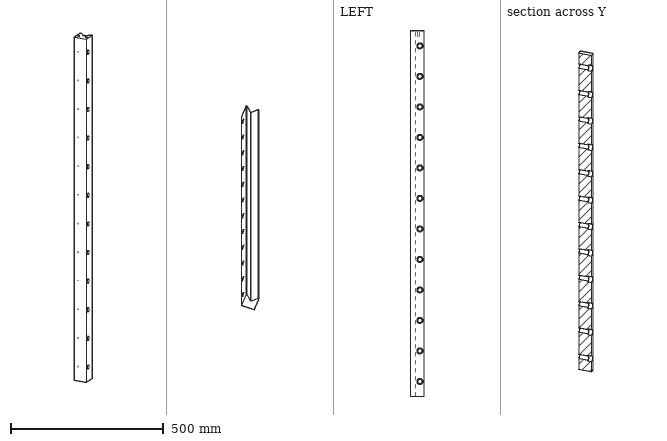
import cadquery as cq

WIDTH = 45.0
DEPTH = 45.0
LENGTH = 1200.0

LAND_WIDTH = 3.5
GROOVE_FLOOR_HALF_WIDTH = 1.5
GROOVE_HALF_WIDTH = WIDTH / 2 - LAND_WIDTH
GROOVE_DEPTH = GROOVE_HALF_WIDTH - GROOVE_FLOOR_HALF_WIDTH

MOUNT_COUNT = 12
MOUNT_PITCH = LENGTH / MOUNT_COUNT
FIRST_MOUNT_HEIGHT = MOUNT_PITCH / 2
MOUNT_FROM_FRONT = 14.0
MOUNT_DIAMETER = 14.0
COUNTERBORE_DIAMETER = 20.0
COUNTERBORE_DEPTH = 13.0

END_HOLE_SPACING = 28.0
END_HOLE_FROM_FRONT = 18.0
END_HOLE_DIAMETER = 6.0
END_HOLE_DEPTH = 20.0


def grooved_bar():
    """Bar with narrow lands left on both sides of the V groove."""
    half_width = WIDTH / 2
    half_depth = DEPTH / 2
    return (
        cq.Workplane("XY")
        .moveTo(-half_width, -half_depth)
        .lineTo(half_width, -half_depth)
        .lineTo(half_width, half_depth)
        .lineTo(GROOVE_HALF_WIDTH, half_depth)
        .lineTo(GROOVE_FLOOR_HALF_WIDTH, half_depth - GROOVE_DEPTH)
        .lineTo(-GROOVE_FLOOR_HALF_WIDTH, half_depth - GROOVE_DEPTH)
        .lineTo(-GROOVE_HALF_WIDTH, half_depth)
        .lineTo(-half_width, half_depth)
        .close()
        .extrude(LENGTH)
    )


def mounting_cutters():
    """Through holes with counterbores entering from the -X face, one pitch apart."""
    hole_y = MOUNT_FROM_FRONT - DEPTH / 2
    centres = [(hole_y, FIRST_MOUNT_HEIGHT + index * MOUNT_PITCH) for index in range(MOUNT_COUNT)]
    entry_face = cq.Workplane("YZ", origin=(-WIDTH / 2, 0, 0)).pushPoints(centres)
    holes = entry_face.circle(MOUNT_DIAMETER / 2).extrude(WIDTH)
    counterbores = entry_face.circle(COUNTERBORE_DIAMETER / 2).extrude(COUNTERBORE_DEPTH)
    return holes.union(counterbores)


def end_hole_cutters():
    """Blind holes sunk into the top end, symmetric about the groove."""
    hole_y = END_HOLE_FROM_FRONT - DEPTH / 2
    centres = [(side * END_HOLE_SPACING / 2, hole_y) for side in (-1, 1)]
    return (
        cq.Workplane("XY", origin=(0, 0, LENGTH))
        .pushPoints(centres)
        .circle(END_HOLE_DIAMETER / 2)
        .extrude(-END_HOLE_DEPTH)
    )


result = grooved_bar().cut(mounting_cutters()).cut(end_hole_cutters())